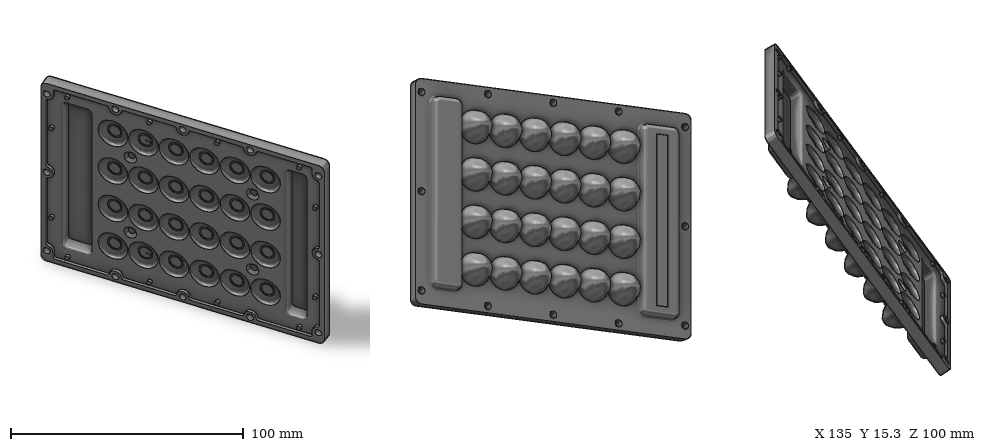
import cadquery as cq
import math

plate_length = 135.0
plate_height = 100.0
plate_thickness = 5.0
plate_corner_radius = 3.0
plate_draft = 2.0

recess_half_length = 65.0
recess_half_height = 47.5
recess_depth = 1.5
recess_fillet = 1.2

screw_radius = 1.6
boss_radius = 3.0
side_screw_x = 64.5
corner_screw_z = 44.0
edge_screw_z = 47.0
edge_screw_pitch = 32.0

pin_radius = 1.01
pin_length = 1.5
edge_pin_z = 45.0
edge_pin_xs = (16.0, 55.1)
side_pin_x = 62.6
side_pin_z = 25.1

dome_columns = 6
dome_rows = 4
dome_span_x = 72.5
dome_pitch_z = 21.0
dome_center_x = 2.4
dome_radius = 7.7
dome_rise = 10.3
dish_radius = 7.0
dish_depth = 2.0
dish_squareness = 3.5
dish_curve_steps = 8

sink_center_x = 3.5
sink_spacing_x = 58.0
sink_rim_radius = 3.0
sink_floor_radius = 1.6
sink_depth = 1.5

trough_half_height = 42.4
trough_rise = 4.0
trough_wall = 2.0
trough_corner_radius = 2.7
trough_edge_fillet = 2.0
trough_foot_fillet = 0.8
left_trough_sides = (-60.1, -42.1)
right_trough_sides = (46.2, 60.1)
troughs = (left_trough_sides, right_trough_sides)
cavity_draft = 6.0
cavity_corner_radius = 2.3
cavity_mouth_fillet = 1.2

pad_width = 5.4
pad_height = 76.1
pad_rise = 0.4

SIGNS = (-1, 1)
trough_back_y = plate_thickness + trough_rise


def facing_back(y):
    """Sketch plane at height y whose extrusions grow towards the back (+Y)."""
    return cq.Workplane(cq.Plane((0, y, 0), xDir=(-1, 0, 0), normal=(0, 1, 0)))


def facing_front(y):
    """Sketch plane at height y whose extrusions grow towards the front (-Y)."""
    return cq.Workplane(cq.Plane((0, y, 0), xDir=(1, 0, 0), normal=(0, -1, 0)))


def block(x, z, length, height, y_start, depth):
    """Rectangular block centred at (x, z), running back from y_start."""
    return cq.Workplane("XY").box(length, depth, height).translate((x, y_start + depth / 2, z))


def mirrored(x, z):
    """The four points (+-x, +-z)."""
    return [(sx * x, sz * z) for sx in SIGNS for sz in SIGNS]


corner_screws = mirrored(side_screw_x, corner_screw_z)
side_screws = [(sx * side_screw_x, 0) for sx in SIGNS]
edge_screws = [(i * edge_screw_pitch, sz * edge_screw_z) for i in (-1, 0, 1) for sz in SIGNS]
screws = corner_screws + side_screws + edge_screws

pins = mirrored(side_pin_x, side_pin_z)
for pin_x in edge_pin_xs:
    pins += mirrored(pin_x, edge_pin_z)

dome_centers = [
    (dome_center_x + (column / (dome_columns - 1) - 0.5) * dome_span_x,
     (row - (dome_rows - 1) / 2) * dome_pitch_z)
    for column in range(dome_columns)
    for row in range(dome_rows)
]

sinks = [(sink_center_x + x, z) for x, z in mirrored(sink_spacing_x / 2, dome_pitch_z)]


def make_plate():
    return (
        facing_front(plate_thickness)
        .sketch()
        .rect(plate_length, plate_height)
        .vertices()
        .fillet(plate_corner_radius)
        .finalize()
        .extrude(plate_thickness, taper=plate_draft)
    )


def make_recess():
    """Recess volume, notched around every screw boss, with rounded notch corners."""
    recess = block(0, 0, 2 * recess_half_length, 2 * recess_half_height, 0, recess_depth)
    recess = recess.cut(facing_front(recess_depth).pushPoints(screws).circle(boss_radius).extrude(recess_depth))
    for x, z in corner_screws:
        reach_z = math.copysign(plate_height / 2, z)
        recess = recess.cut(
            block(x, (z + reach_z) / 2, 2 * boss_radius, abs(reach_z - z), 0, recess_depth)
        )

    def is_sharp(edge):
        return abs(abs(edge.Center().z) - corner_screw_z) > recess_fillet / 10

    return recess.edges("|Y").filter(is_sharp).fillet(recess_fillet)


def make_dome():
    """Half ellipsoid based on the recess floor, centred at X = Z = 0."""
    dome_length = plate_thickness + dome_rise - recess_depth
    return (
        cq.Workplane("XY")
        .moveTo(0, recess_depth)
        .lineTo(dome_radius, recess_depth)
        .ellipseArc(dome_radius, dome_length, 0, 90, startAtCurrent=True)
        .close()
        .revolve(360, (0, 0, 0), (0, 1, 0))
    )


def dish_point(step):
    """Point on the dish profile, a quarter superellipse from the rim to the deepest point."""
    angle = math.pi / 2 * step / dish_curve_steps
    power = 2 / dish_squareness
    radius = dish_radius * math.cos(angle) ** power
    depth = dish_depth * math.sin(angle) ** power
    return radius, recess_depth + depth


def make_dish():
    """Shallow dish sunk below the recess floor, with a rounded side and a nearly flat floor."""
    profile = [dish_point(step) for step in range(1, dish_curve_steps)]
    profile.append((0, recess_depth + dish_depth))
    return (
        cq.Workplane("XY")
        .moveTo(0, recess_depth)
        .lineTo(dish_radius, recess_depth)
        .spline(profile, tangents=[(0, 1), (-1, 0)], includeCurrent=True)
        .close()
        .revolve(360, (0, 0, 0), (0, 1, 0))
    )


def make_sink():
    """Blind conical hole below the recess floor."""
    return (
        cq.Workplane("XY")
        .moveTo(0, recess_depth)
        .lineTo(sink_rim_radius, recess_depth)
        .lineTo(sink_floor_radius, recess_depth + sink_depth)
        .lineTo(0, recess_depth + sink_depth)
        .close()
        .revolve(360, (0, 0, 0), (0, 1, 0))
    )


def make_trough(sides):
    """Solid outer body of a trough between two X positions, rounded at its back edges."""
    left, right = sides
    return (
        block((left + right) / 2, 0, right - left, 2 * trough_half_height, plate_thickness, trough_rise)
        .edges("|Y")
        .fillet(trough_corner_radius)
        .faces(">Y")
        .edges()
        .fillet(trough_edge_fillet)
    )


def is_trough_edge(edge, y):
    """True for edges at height y that lie within the outline of a trough."""
    center = edge.Center()
    at_height = abs(center.y - y) < trough_wall / 100
    in_height = abs(center.z) <= trough_half_height
    in_length = any(left <= center.x <= right for left, right in troughs)
    return at_height and in_height and in_length


def make_cavity(sides):
    """Hollow of a trough, with drafted walls that narrow towards the floor."""
    left, right = sides
    length = right - left - 2 * trough_wall
    height = 2 * (trough_half_height - trough_wall)
    depth = trough_back_y - trough_wall - recess_depth
    return (
        facing_back(recess_depth)
        .center(-(left + right) / 2, 0)
        .sketch()
        .rect(length, height)
        .vertices()
        .fillet(cavity_corner_radius)
        .finalize()
        .extrude(depth, taper=cavity_draft)
    )


result = make_plate()
for sides in troughs:
    result = result.union(make_trough(sides))
result = result.edges().filter(lambda edge: is_trough_edge(edge, plate_thickness)).fillet(trough_foot_fillet)

result = result.cut(make_recess())
for sides in troughs:
    result = result.cut(make_cavity(sides))
result = result.edges().filter(lambda edge: is_trough_edge(edge, recess_depth)).fillet(cavity_mouth_fillet)

pad_x = sum(left_trough_sides) / 2
pad_base_y = trough_back_y - trough_wall / 2
result = result.union(block(pad_x, 0, pad_width, pad_height, pad_base_y, trough_wall / 2 + pad_rise))

dome = make_dome()
dish = make_dish()
for x, z in dome_centers:
    result = result.union(dome.translate((x, 0, z)))
for x, z in dome_centers:
    result = result.cut(dish.translate((x, 0, z)))

sink = make_sink()
for x, z in sinks:
    result = result.cut(sink.translate((x, 0, z)))

result = result.union(facing_front(recess_depth).pushPoints(pins).circle(pin_radius).extrude(pin_length))
result = result.cut(facing_back(0).pushPoints(screws).circle(screw_radius).extrude(plate_thickness))